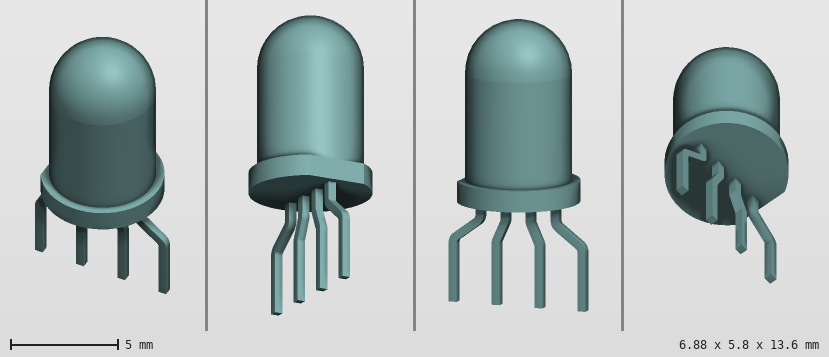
import cadquery as cq
import math

total_height = 13.6
lens_diameter = 5.0
lens_radius = lens_diameter / 2
flange_diameter = 5.8
flange_height = 1.0
flange_bottom = 5.0
flange_top = flange_bottom + flange_height
dome_base = total_height - lens_radius
flat_x = -lens_radius

lead_width = 0.4
overall_width = 6.88
lead_count = 4
upper_pitch = 1.26
lower_pitch = (overall_width - lead_width) / (lead_count - 1)
lower_knee_z = 3.0
upper_knee_z = 4.0
bend_radius = lead_width


def make_lens():
    """Revolve the domed profile around Z, then cut the flat on the flange."""
    flange_radius = flange_diameter / 2
    arc_offset = lens_radius * math.sqrt(0.5)
    body = (
        cq.Workplane("XZ")
        .moveTo(0, flange_bottom)
        .lineTo(flange_radius, flange_bottom)
        .lineTo(flange_radius, flange_top)
        .lineTo(lens_radius, flange_top)
        .lineTo(lens_radius, dome_base)
        .threePointArc((arc_offset, dome_base + arc_offset), (0, total_height))
        .close()
        .revolve(360, (0, 0, 0), (0, 1, 0))
    )
    cutter_length = flange_radius - lens_radius
    flat_cutter = (
        cq.Workplane("XY", origin=(flat_x - cutter_length / 2, 0, flange_bottom))
        .rect(cutter_length, flange_diameter)
        .extrude(flange_height)
    )
    return body.cut(flat_cutter)


def make_lead(upper_x, lower_x):
    """Sweep a square section up a centreline with two rounded knees."""
    centreline = cq.Wire.makePolygon([
        cq.Vector(lower_x, 0, 0),
        cq.Vector(lower_x, 0, lower_knee_z),
        cq.Vector(upper_x, 0, upper_knee_z),
        cq.Vector(upper_x, 0, flange_bottom),
    ])
    knees = [v for v in centreline.Vertices() if 0 < v.Z < flange_bottom]
    path = centreline.fillet2D(bend_radius, knees)
    return (
        cq.Workplane("XY", origin=(lower_x, 0, 0))
        .rect(lead_width, lead_width)
        .sweep(cq.Workplane(path))
    )


lens = make_lens()

leads = []
for index in range(lead_count):
    place = index - (lead_count - 1) / 2
    leads.append(make_lead(place * upper_pitch, place * lower_pitch))

result = cq.Compound.makeCompound([lens.val(), *[lead.val() for lead in leads]])